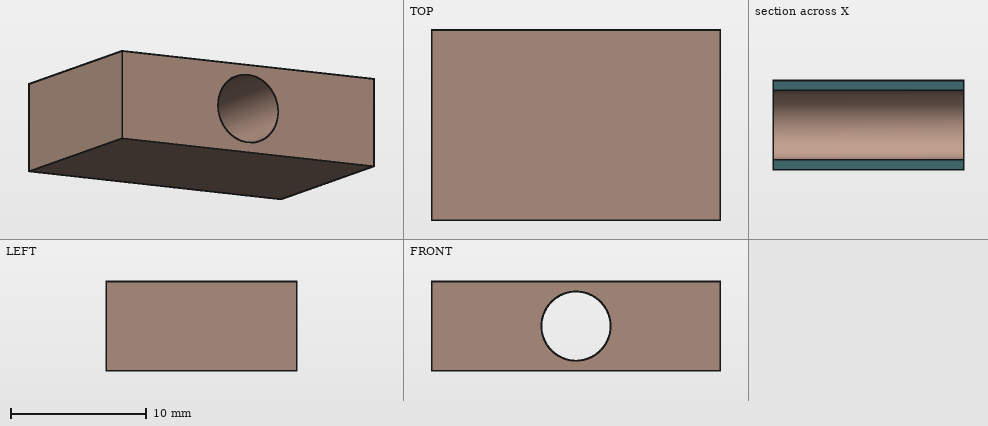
import cadquery as cq

length_x = 21.34
width_y = 14.09
height_z = 6.6

bore_diameter = 5.1


def make_block():
    """Plain rectangular block centred on the origin."""
    return cq.Workplane("XY").box(length_x, width_y, height_z)


def make_bore():
    """Cylinder running the full width of the block along Y."""
    return cq.Workplane("XZ").circle(bore_diameter / 2).extrude(width_y / 2, both=True)


result = make_block().cut(make_bore())